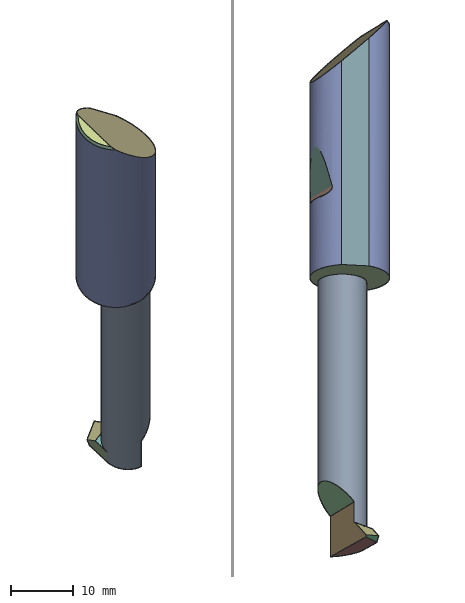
import cadquery as cq
import math

total_length = 88.9
shank_diameter = 12.7
shank_radius = shank_diameter / 2
shank_bottom = 45.7

flat_distance = 6.0
flat_angle = 159.6
bevel_start_y = -4.45
end_chamfer = 0.4
notch_top = 66.8
notch_bottom = 58.0
notch_depth = 1.3
notch_corner_radius = 1.2

neck_radius = 3.9
neck_x = shank_radius - neck_radius
ramp_end = 7.2

tip_x = -5.3
tip_land = 0.4
head_top = 3.65
flank_slope = math.tan(math.radians(42))
back_bottom_x = -1.9
back_bottom_z = 0.8
back_corner_x = -2.5
back_corner_z = 1.8
bottom_rise_x = 0.03
bottom_rise_y = 0.19


def make_shank():
    height = total_length - shank_bottom
    shank = cq.Workplane("XY").workplane(offset=shank_bottom).circle(shank_radius).extrude(height)
    return shank.faces(">Z").edges().chamfer(end_chamfer)


def side_flat():
    cutter = cq.Workplane("XY").box(
        shank_diameter, shank_diameter, total_length, centered=(False, True, False)
    )
    cutter = cutter.translate((flat_distance, 0, 0))
    return cutter.rotate((0, 0, 0), (0, 0, 1), flat_angle)


def extrude_along_x(points):
    """Prism across the whole part from an outline of (Y, Z) points."""
    return cq.Workplane("YZ").polyline(points).close().extrude(shank_diameter, both=True)


def end_bevel():
    run = shank_diameter
    return extrude_along_x([
        (bevel_start_y, total_length),
        (bevel_start_y + run, total_length),
        (bevel_start_y + run, total_length - run),
    ])


def clamping_notch():
    """Sloping clamping face with a rounded inner corner at its lower end."""
    floor_y = shank_radius - notch_depth
    outer_y = shank_radius + notch_depth
    outer_top = notch_top + (notch_top - notch_bottom)
    notch = extrude_along_x([
        (outer_y, outer_top),
        (floor_y, notch_bottom),
        (outer_y, notch_bottom),
    ])
    return notch.edges("|X").edges("<Y").fillet(notch_corner_radius)


def make_neck():
    neck = cq.Workplane("XY").center(neck_x, 0).circle(neck_radius).extrude(shank_bottom)
    rake_clearance = extrude_along_x([
        (0, -neck_radius),
        (0, ramp_end),
        (shank_radius, ramp_end + shank_radius),
        (shank_radius, -neck_radius),
    ])
    return neck.cut(rake_clearance)


def head_outline(bottom_x, bottom_z, corner_x, corner_z):
    """(X, Z) outline of the head: end face, sloping flank, top and inner side."""
    flank_top_x = corner_x + (head_top - corner_z) / flank_slope
    return [
        (bottom_x, bottom_z),
        (corner_x, corner_z),
        (flank_top_x, head_top),
        (neck_x, head_top),
        (neck_x, bottom_z),
    ]


def make_head():
    rake_outline = head_outline(tip_x, 0, tip_x, tip_land)
    back_outline = head_outline(back_bottom_x, back_bottom_z, back_corner_x, back_corner_z)
    head = cq.Workplane("XZ").polyline(rake_outline).close()
    head = head.workplane(offset=neck_radius).polyline(back_outline).close()
    return head.loft(ruled=True, combine=True)


def bottom_relief():
    """Block below the bottom face, which rises from the tip along +X and -Y."""
    size = 2 * shank_diameter
    plane = cq.Plane(
        origin=(tip_x, 0, 0),
        xDir=(1, 0, bottom_rise_x),
        normal=(-bottom_rise_x, bottom_rise_y, 1),
    )
    return cq.Workplane(plane).rect(2 * size, 2 * size).extrude(-size)


shank = make_shank().cut(side_flat()).cut(end_bevel()).cut(clamping_notch())
cutting_end = make_neck().union(make_head()).cut(bottom_relief())
result = shank.union(cutting_end)